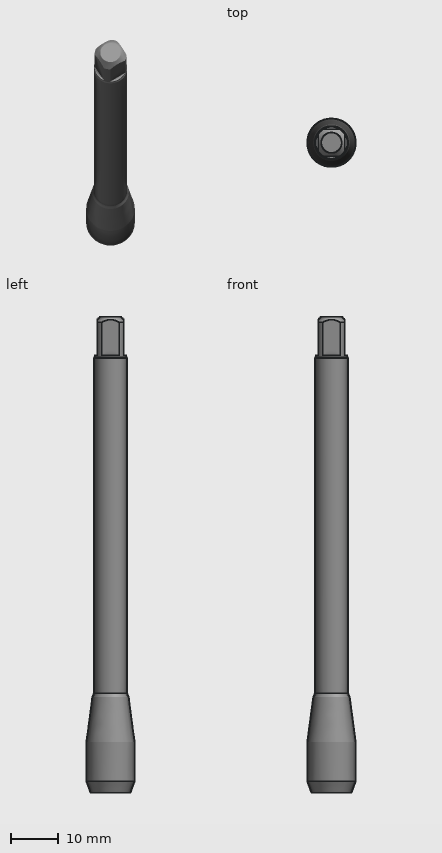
import cadquery as cq

total_length = 100.1

rod_diameter = 7.0
drive_across_flats = 5.6
drive_corner_diameter = 6.7
drive_tip_diameter = 4.3
flat_length = 8.1
neck_height = 0.4
shoulder_height = 0.3
neck_bottom = total_length - flat_length - neck_height

sleeve_diameter = 10.2
sleeve_bottom_diameter = 8.4
sleeve_neck_diameter = 7.7
bottom_chamfer_height = 2.4
straight_top = 10.7
taper_top = 20.1
sleeve_length = 20.9


def revolve_profile(points):
    """Revolve a closed (radius, height) outline about the Z axis."""
    return cq.Workplane("XZ").polyline(points).close().revolve(360, (0, 0, 0), (0, 1, 0))


def make_rod():
    """Round rod with a short turned neck below a square drive end."""
    rod_radius = rod_diameter / 2
    corner_radius = drive_corner_diameter / 2
    tip_radius = drive_tip_diameter / 2
    tip_chamfer = corner_radius - tip_radius

    blank = revolve_profile([
        (0, 0),
        (rod_radius, 0),
        (rod_radius, neck_bottom - shoulder_height),
        (corner_radius, neck_bottom),
        (corner_radius, total_length - tip_chamfer),
        (tip_radius, total_length),
        (0, total_length),
    ])

    milled_space = (
        cq.Workplane("XY", origin=(0, 0, total_length - flat_length))
        .rect(2 * rod_diameter, 2 * rod_diameter)
        .rect(drive_across_flats, drive_across_flats)
        .extrude(flat_length)
    )
    return blank.cut(milled_space)


def make_sleeve():
    """Tapered sleeve with a through bore that fits the rod."""
    bore_radius = rod_diameter / 2
    return revolve_profile([
        (bore_radius, 0),
        (sleeve_bottom_diameter / 2, 0),
        (sleeve_diameter / 2, bottom_chamfer_height),
        (sleeve_diameter / 2, straight_top),
        (sleeve_neck_diameter / 2, taper_top),
        (bore_radius, sleeve_length),
    ])


rod = make_rod()
sleeve = make_sleeve()

result = cq.Compound.makeCompound([rod.val(), sleeve.val()])